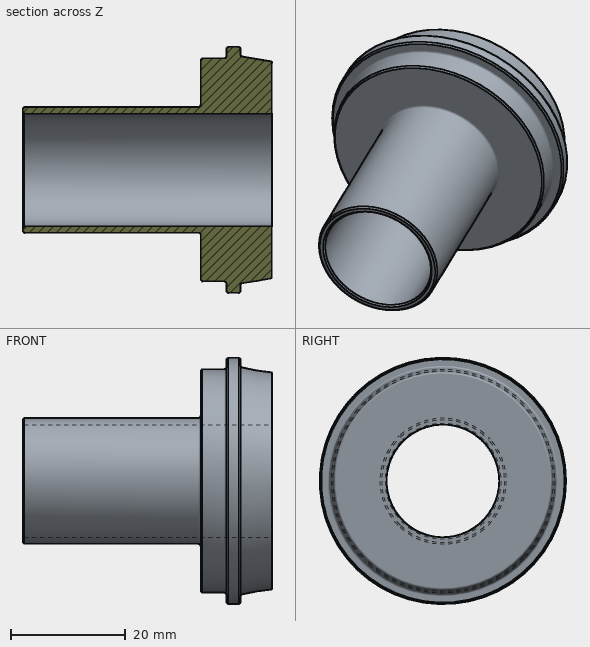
import cadquery as cq
import math

total_length = 43.5
stub_length = 31.0
shoulder_length = 4.5
collar_length = 2.5

bore_diameter = 19.6
stub_diameter = 22.0
shoulder_diameter = 39.0
collar_diameter = 43.0
cone_start_diameter = 39.7

cone_half_angle = 9.5
root_fillet = 0.4
cone_fillet = 0.3
rim_chamfer = 0.3
bore_chamfer = 0.3

select_tolerance = 0.01

collar_start = stub_length + shoulder_length
collar_end = collar_start + collar_length
cone_length = total_length - collar_end

stub_radius = stub_diameter / 2
shoulder_radius = shoulder_diameter / 2
collar_radius = collar_diameter / 2
cone_start_radius = cone_start_diameter / 2
cone_end_radius = cone_start_radius - cone_length * math.tan(math.radians(cone_half_angle))


def turned_body():
    """Solid of revolution about X: pipe stub, shoulder, collar and cone."""
    profile = (
        cq.Workplane("XY")
        .polyline([
            (0, 0),
            (0, stub_radius),
            (stub_length, stub_radius),
            (stub_length, shoulder_radius),
            (collar_start, shoulder_radius),
            (collar_start, collar_radius),
            (collar_end, collar_radius),
            (collar_end, cone_start_radius),
            (total_length, cone_end_radius),
            (total_length, 0),
        ])
        .close()
    )
    return profile.revolve(360, (0, 0, 0), (1, 0, 0))


def rim_at(body, station, radius):
    """Select the largest circular edge at one X station, no larger than the given radius."""
    return body.edges(
        cq.selectors.BoxSelector(
            (station - select_tolerance, -radius - select_tolerance, -radius - select_tolerance),
            (station + select_tolerance, radius + select_tolerance, radius + select_tolerance),
            boundingbox=True,
        )
    ).edges(cq.selectors.RadiusNthSelector(-1))


def fillet_edges(body):
    """Fillet the inner corners at the steps and both ends of the cone."""
    fillets = [
        (stub_length, stub_radius, root_fillet),
        (collar_start, shoulder_radius, root_fillet),
        (collar_end, cone_start_radius, cone_fillet),
        (total_length, cone_end_radius, cone_fillet),
    ]
    for station, radius, size in fillets:
        body = rim_at(body, station, radius).fillet(size)
    return body


def chamfer_rims(body):
    """Chamfer the outer rims of the stub, shoulder and collar."""
    rims = [
        (0, stub_radius),
        (stub_length, shoulder_radius),
        (collar_start, collar_radius),
        (collar_end, collar_radius),
    ]
    for station, radius in rims:
        body = rim_at(body, station, radius).chamfer(rim_chamfer)
    return body


def bore_through(body):
    """Cut the through bore and break its edge at the stub end."""
    bored = body.faces("<X").workplane(origin=(0, 0, 0)).hole(bore_diameter)
    return rim_at(bored, 0, bore_diameter / 2).chamfer(bore_chamfer)


result = bore_through(chamfer_rims(fillet_edges(turned_body())))